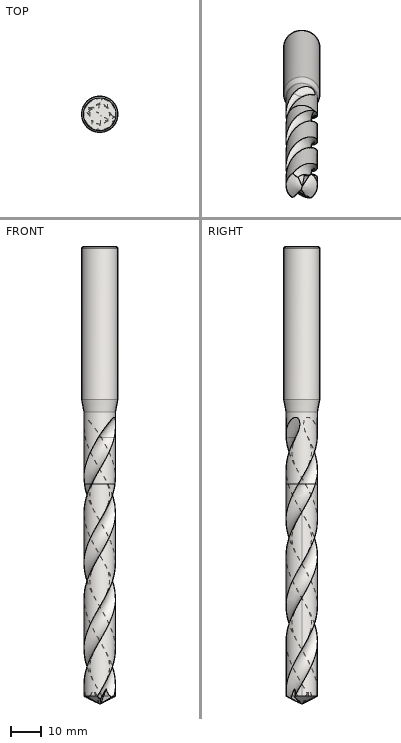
import cadquery as cq
import math

total_length = 151.0
shank_diameter = 12.0
drill_diameter = 10.4
shank_radius = shank_diameter / 2
drill_radius = drill_diameter / 2

shank_bottom = 100.5
taper_length = 4.2
joint_height = 72.6
neck_top = shank_bottom - taper_length

shank_chamfer = 0.6
point_angle = 126.0
point_height = drill_radius / math.tan(math.radians(point_angle / 2))

helix_angle = 30.0
flute_count = 2
flute_spacing = 360 / flute_count
flute_depth = 2.0
flute_half_width_angle = 36.0
flute_top = 88.0
first_flute_angle = -59.0
flute_overrun = 1.0
flute_top_angles = [first_flute_angle + index * flute_spacing for index in range(flute_count)]
helix_lead = math.pi * drill_diameter / math.tan(math.radians(helix_angle))

half_chord = drill_radius * math.sin(math.radians(flute_half_width_angle))
floor_radius = drill_radius - flute_depth
edge_rise = drill_radius * math.cos(math.radians(flute_half_width_angle)) - floor_radius
flute_radius = (half_chord**2 + edge_rise**2) / (2 * edge_rise)
flute_offset = floor_radius + flute_radius

runout_height = 10.0
runout_travel = runout_height * 2 * math.pi * flute_offset / helix_lead

gash_start_radius = 0.4
gash_angle = -47.5
gash_end_radius = 3.5
gash_end_height = 5.6
gash_facing_angle = -21.0
gash_width = 5.0
gash_overrun = 1.0


def polar_point(radius, angle, height):
    """Point from a radius, a polar angle in degrees and a height."""
    turn = math.radians(angle)
    return cq.Vector(radius * math.cos(turn), radius * math.sin(turn), height)


def flute_circle(height, angle):
    """Workplane with the flute circle at a height, at a polar angle in degrees."""
    centre = polar_point(flute_offset, angle, height)
    return cq.Workplane("XY", origin=(0, 0, height)).moveTo(centre.x, centre.y).circle(flute_radius)


def make_helical_cutter(top_angle, bottom, top):
    """Twisted groove between two heights, on the helix that is at top_angle at the flute top."""
    start_angle = top_angle - 360 * (flute_top - bottom) / helix_lead
    twist = 360 * (top - bottom) / helix_lead
    return flute_circle(bottom, start_angle).twistExtrude(top - bottom, twist)


def make_runout_cutter(top_angle):
    """Straight slanted groove that leaves the neck along the helix tangent."""
    direction = polar_point(runout_travel, top_angle + 90, runout_height)
    section = flute_circle(flute_top, top_angle).wire().val()
    return cq.Workplane(obj=cq.Solid.extrudeLinear(section, [], direction))


def make_gash_cutter(turn):
    """Square bar whose corner runs from beside the tip up to the flute floor."""
    start = polar_point(gash_start_radius, gash_angle + turn, 0)
    floor_line = polar_point(gash_end_radius, gash_angle + turn, gash_end_height) - start
    along = floor_line.normalized()
    facing = polar_point(1, gash_facing_angle + turn, 0)
    across = facing - along * facing.dot(along)
    plane = cq.Plane(origin=start - along * gash_overrun, xDir=across, normal=along)
    bar = cq.Workplane(plane).rect(gash_width, -gash_width, centered=False)
    return bar.extrude(floor_line.Length + gash_overrun)


def make_shank():
    """Chamfered shank, taper and the upper stretch of the fluted neck."""
    profile = (
        cq.Workplane("XZ")
        .moveTo(0, joint_height)
        .lineTo(drill_radius, joint_height)
        .lineTo(drill_radius, neck_top)
        .lineTo(shank_radius, shank_bottom)
        .lineTo(shank_radius, total_length - shank_chamfer)
        .lineTo(shank_radius - shank_chamfer, total_length)
        .lineTo(0, total_length)
        .close()
    )
    shank = profile.revolve(360, (0, 0, 0), (0, 1, 0))
    for angle in flute_top_angles:
        shank = shank.cut(make_helical_cutter(angle, joint_height - flute_overrun, flute_top))
        shank = shank.cut(make_runout_cutter(angle))
    return shank


def make_cutting_end():
    """Fluted drill with its gashed conical point."""
    profile = (
        cq.Workplane("XZ")
        .lineTo(drill_radius, point_height)
        .lineTo(drill_radius, joint_height)
        .lineTo(0, joint_height)
        .close()
    )
    cutting_end = profile.revolve(360, (0, 0, 0), (0, 1, 0))
    for angle in flute_top_angles:
        cutter = make_helical_cutter(angle, -flute_overrun, joint_height + flute_overrun)
        cutting_end = cutting_end.cut(cutter)
    for index in range(flute_count):
        cutting_end = cutting_end.cut(make_gash_cutter(index * flute_spacing))
    return cutting_end


shank = make_shank()
cutting_end = make_cutting_end()

result = cq.Compound.makeCompound([shank.solids().val(), cutting_end.solids().val()])